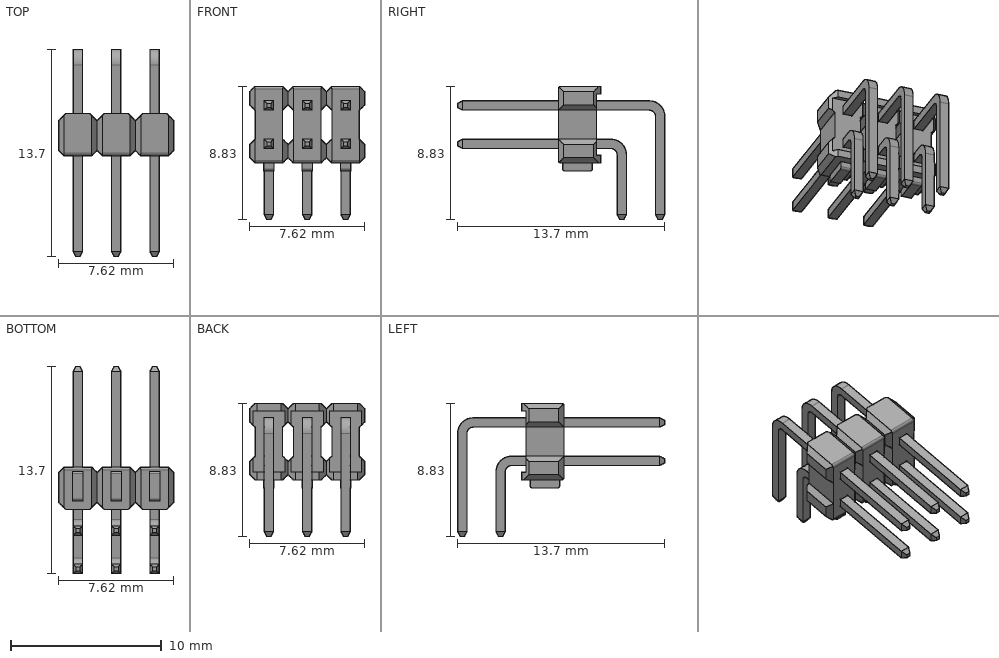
import cadquery as cq
import math

pitch = 2.54
columns = 3

housing_height = 2 * pitch
core_depth = pitch
wing_chamfer = 0.36
rear_chamfer = 0.48
flange_depth = 0.27
flange_height = 0.52
front_round = 0.18

peg_width = 0.7
peg_depth = 1.96
peg_height = 0.54
peg_round = 0.15

pin_size = 0.63
tip_size = 0.27
tip_length = 0.35
bend_radius = 0.73
front_reach = 6.68
rear_reach = 7.06
tail_drop = 3.75

half_width = pitch / 2
core_half_width = half_width - wing_chamfer
rear_y = core_depth + flange_depth
waist_bottom = pitch / 2 + pin_size / 2
waist_top = housing_height - waist_bottom
lower_pin_z = pitch / 2
upper_pin_z = lower_pin_z + pitch
upper_tail_y = rear_reach - pin_size / 2
lower_tail_y = upper_tail_y - pitch
tip_taper = math.degrees(math.atan((pin_size - tip_size) / 2 / tip_length))
column_positions = [(i - (columns - 1) / 2) * pitch for i in range(columns)]


def side_prism():
    """Housing section in YZ, with rounded front edges and the rear recess."""
    recess_height = housing_height - 2 * flange_height
    block = (
        cq.Workplane("XY")
        .box(pitch, rear_y, housing_height, centered=(True, False, False))
        .faces("<Y").edges("|X").fillet(front_round)
    )
    recess = (
        cq.Workplane("XY", origin=(0, core_depth, flange_height))
        .box(pitch, flange_depth, recess_height, centered=(True, False, False))
    )
    return block.cut(recess)


def plan_prism():
    """Housing outline in XY, bevelled at the front and the rear corners."""
    right_half = [
        (core_half_width, 0),
        (half_width, wing_chamfer),
        (half_width, rear_y - rear_chamfer),
        (half_width - rear_chamfer, rear_y),
    ]
    left_half = [(-x, y) for x, y in reversed(right_half)]
    return cq.Workplane("XY").polyline(right_half + left_half).close().extrude(housing_height)


def front_prism():
    """Housing outline in XZ, with bevelled wings above and below a narrow waist."""
    right_half = [
        (core_half_width, 0),
        (half_width, wing_chamfer),
        (half_width, waist_bottom - wing_chamfer),
        (core_half_width, waist_bottom),
        (core_half_width, waist_top),
        (half_width, waist_top + wing_chamfer),
        (half_width, housing_height - wing_chamfer),
        (core_half_width, housing_height),
    ]
    left_half = [(-x, z) for x, z in reversed(right_half)]
    return cq.Workplane("XZ").polyline(right_half + left_half).close().extrude(-rear_y)


def make_peg():
    """Locating peg on the underside, with rounded lower front and rear edges."""
    return (
        cq.Workplane("XY", origin=(0, core_depth / 2, -peg_height))
        .box(peg_width, peg_depth, peg_height, centered=(True, True, False))
        .faces("<Z").edges("|X").fillet(peg_round)
    )


def make_housing(x):
    """One housing with its peg and two through holes that fit the pins."""
    body = side_prism().intersect(plan_prism()).intersect(front_prism()).union(make_peg())
    pin_holes = (
        cq.Workplane("XZ")
        .pushPoints([(0, lower_pin_z), (0, upper_pin_z)])
        .rect(pin_size, pin_size)
        .extrude(-rear_y)
    )
    return body.cut(pin_holes).translate((x, 0, 0)).solids().val()


def wire_section(plane, origin):
    """Square cross-section of the pin wire, centred on the origin of a plane."""
    return cq.Workplane(plane, origin=origin).rect(pin_size, pin_size)


def make_pin(x, pin_z, tail_y):
    """One right-angle pin of square wire, with a tapered tip at each end."""
    front_shoulder = -front_reach + tip_length
    tail_shoulder = -tail_drop + tip_length
    bend_offset = bend_radius * math.sqrt(0.5)
    bend_middle = (tail_y - bend_radius + bend_offset, pin_z - bend_radius + bend_offset)
    path = (
        cq.Workplane("YZ", origin=(x, 0, 0))
        .moveTo(front_shoulder, pin_z)
        .lineTo(tail_y - bend_radius, pin_z)
        .threePointArc(bend_middle, (tail_y, pin_z - bend_radius))
        .lineTo(tail_y, tail_shoulder)
    )
    front_end = (x, front_shoulder, pin_z)
    tail_end = (x, tail_y, tail_shoulder)
    wire = wire_section("XZ", front_end).sweep(path)
    front_tip = wire_section("XZ", front_end).extrude(tip_length, taper=tip_taper)
    tail_tip = wire_section("XY", tail_end).extrude(-tip_length, taper=tip_taper)
    return wire.union(front_tip).union(tail_tip).solids().val()


housings = [make_housing(x) for x in column_positions]
upper_pins = [make_pin(x, upper_pin_z, upper_tail_y) for x in column_positions]
lower_pins = [make_pin(x, lower_pin_z, lower_tail_y) for x in column_positions]

result = cq.Compound.makeCompound([*housings, *upper_pins, *lower_pins])